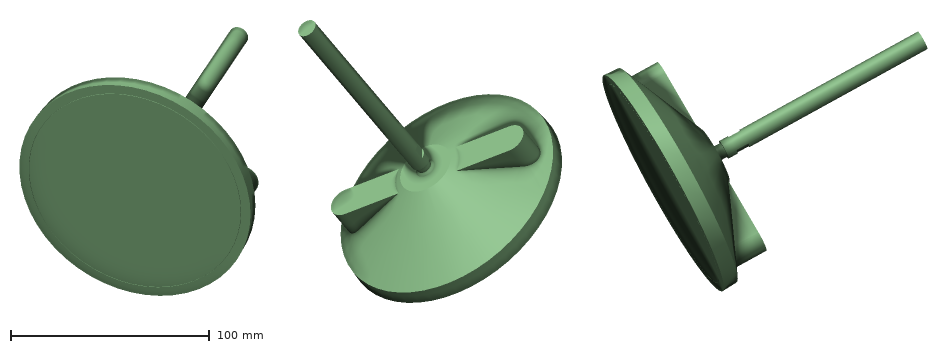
import cadquery as cq

total_length = 150.0

front_diameter = 124.0
rim_back_diameter = 123.2
rim_thickness = 8.2
hub_diameter = 29.2
hub_y = 30.0

groove_inner_diameter = 113.5
groove_outer_diameter = 114.0
groove_depth = 0.5

rod_diameter = 10.0
neck_diameter = 7.8
flare_base_diameter = 10.8
flare_length = 1.2
rod_start_y = 35.1

flats_start_y = 40.2
flats_length = 6.9
across_flats = 7.8

bar_length = 111.6
bar_width = 16.5
bar_back_y = 28.2


def make_turned_body():
    """Plate, cone, neck and rod as one revolved half profile."""
    profile = [
        (0, 0),
        (front_diameter / 2, 0),
        (rim_back_diameter / 2, rim_thickness),
        (hub_diameter / 2, hub_y),
        (flare_base_diameter / 2, hub_y),
        (neck_diameter / 2, hub_y + flare_length),
        (neck_diameter / 2, rod_start_y),
        (rod_diameter / 2, rod_start_y),
        (rod_diameter / 2, total_length),
        (0, total_length),
    ]
    return cq.Workplane("XY").polyline(profile).close().revolve(360, (0, 0), (0, 1))


def make_bar():
    """Bar that starts inside the plate and rises past the cone."""
    return (
        cq.Workplane("XZ", origin=(0, bar_back_y, 0))
        .slot2D(bar_length, bar_width)
        .extrude(bar_back_y - rim_thickness)
    )


def make_groove():
    """Ring cutter reaching from the front face into the plate."""
    return (
        cq.Workplane("XZ")
        .circle(groove_outer_diameter / 2)
        .circle(groove_inner_diameter / 2)
        .extrude(-groove_depth)
    )


def make_flat_cutter(side):
    """Block that cuts one wrench flat; side is -1 or +1 along X."""
    flat_x = across_flats / 2
    return cq.Workplane("XY").box(rod_diameter, flats_length, rod_diameter).translate(
        (side * (flat_x + rod_diameter / 2), flats_start_y + flats_length / 2, 0)
    )


result = make_turned_body().union(make_bar()).cut(make_groove())
for side in (-1, 1):
    result = result.cut(make_flat_cutter(side))